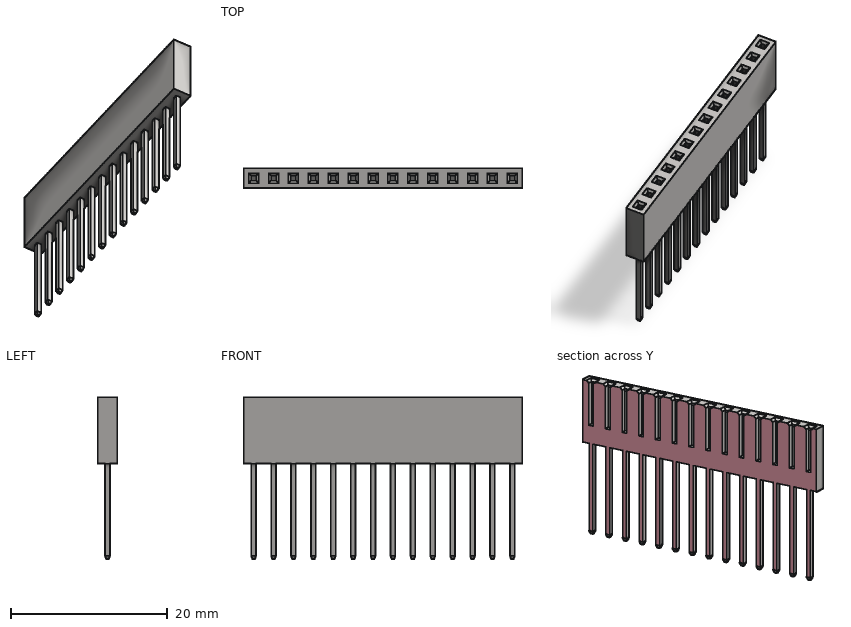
import cadquery as cq

contact_count = 14
pitch = 2.54

housing_length = contact_count * pitch
housing_width = pitch
housing_height = 8.5

pin_size = 0.64
pin_length = 12.2
tip_size = pin_size / 2
tip_length = 0.41

socket_mouth = 1.28
socket_size = 0.64
funnel_depth = (socket_mouth - socket_size) / 2
socket_depth = 6.0


def square_taper(start_size, start_z, end_size, end_z):
    """Square frustum between two heights, centred on the Z axis."""
    return (
        cq.Workplane("XY", origin=(0, 0, start_z))
        .rect(start_size, start_size)
        .workplane(offset=end_z - start_z)
        .rect(end_size, end_size)
        .loft(ruled=True)
    )


def square_bar(size, bottom_z, top_z):
    """Square bar between two heights, centred on the Z axis."""
    return cq.Workplane("XY", origin=(0, 0, bottom_z)).rect(size, size).extrude(top_z - bottom_z)


def make_pin():
    """Straight pin below the housing, tapering at its free end."""
    taper_start = tip_length - pin_length
    shank = square_bar(pin_size, taper_start, 0)
    tip = square_taper(pin_size, taper_start, tip_size, -pin_length)
    return shank.union(tip)


def make_socket():
    """Socket cavity: a funnel at the top leading into a straight blind hole."""
    funnel_bottom = housing_height - funnel_depth
    funnel = square_taper(socket_mouth, housing_height, socket_size, funnel_bottom)
    hole = square_bar(socket_size, housing_height - socket_depth, funnel_bottom)
    return funnel.union(hole)


pin = make_pin()
socket = make_socket()

result = cq.Workplane("XY").box(
    housing_length, housing_width, housing_height, centered=(True, True, False)
)
for index in range(contact_count):
    contact_x = (index - (contact_count - 1) / 2) * pitch
    result = result.union(pin.translate((contact_x, 0, 0)))
    result = result.cut(socket.translate((contact_x, 0, 0)))